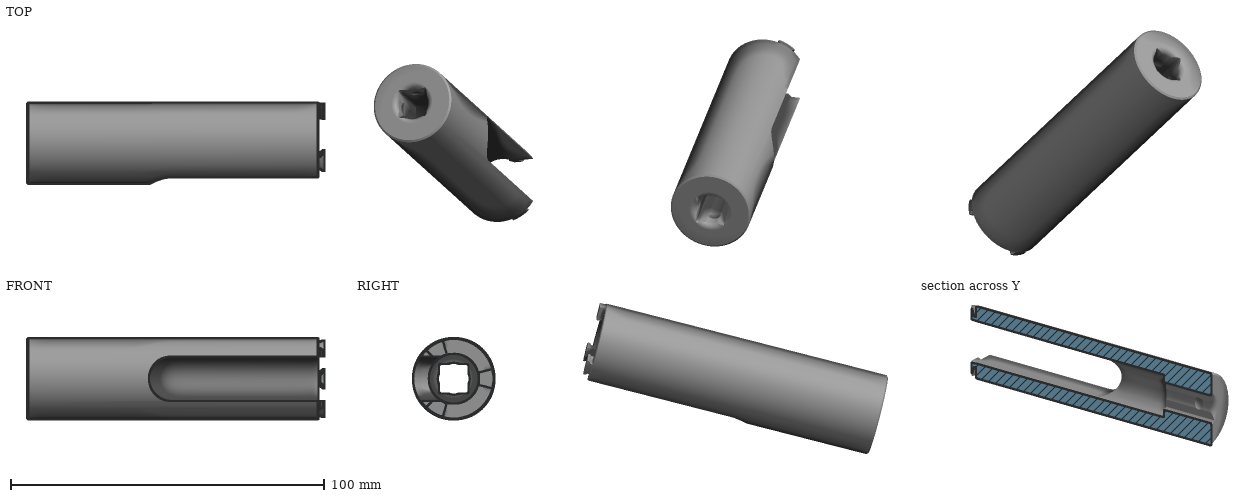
import cadquery as cq
import math

total_length = 95.0
lug_height = 1.9
body_length = total_length - lug_height
outer_radius = 26.0 / 2
bore_radius = 16.0 / 2

back_chamfer_length = 0.5
back_chamfer_depth = 0.6
front_chamfer = 0.3

drive_square = 9.4
drive_bore_diameter = 10.1
drive_mouth_diameter = 13.4
drive_mouth_length = 1.8
drive_corner_chamfer = 0.4
drive_length = 19.0
detent_radius = 2.7
detent_depth = 0.95
detent_position = 6.2

slot_width = 14.2
slot_start = 38.95

lug_angles = (90, 210, 330)
lug_outer_radius = outer_radius - front_chamfer
lug_wall_inset = 0.1
lug_inner_radius = bore_radius + lug_wall_inset
neck_half_angle = 10.0
head_half_angle = 14.0
neck_height = 0.7
head_height = lug_height - neck_height
head_chamfer = 0.7
head_fillet = 0.2


def make_body():
    """Turned sleeve with a long bore and chamfered outer rims, along +X."""
    profile = (
        cq.Workplane("XY")
        .moveTo(0, 0)
        .lineTo(0, outer_radius - back_chamfer_depth)
        .lineTo(back_chamfer_length, outer_radius)
        .lineTo(body_length - front_chamfer, outer_radius)
        .lineTo(body_length, outer_radius - front_chamfer)
        .lineTo(body_length, bore_radius)
        .lineTo(drive_length, bore_radius)
        .lineTo(drive_length, 0)
        .close()
    )
    body = profile.revolve(360, (0, 0, 0), (1, 0, 0))
    return body.rotate((0, 0, 0), (1, 0, 0), 180)


def make_drive_socket():
    """Square socket with a round relief, a flared mouth and a ball detent in each wall."""
    mouth_radius = drive_mouth_diameter / 2
    relief_radius = drive_bore_diameter / 2
    square = cq.Workplane("YZ").rect(drive_square, drive_square).extrude(drive_length)
    square = square.edges("|X").chamfer(drive_corner_chamfer)
    relief = (
        cq.Workplane("XY")
        .moveTo(drive_length, 0)
        .lineTo(drive_length, relief_radius)
        .lineTo(drive_mouth_length, relief_radius)
        .tangentArcPoint((0, mouth_radius), relative=False)
        .lineTo(0, 0)
        .close()
        .revolve(360, (0, 0, 0), (1, 0, 0))
    )
    socket = square.union(relief)
    ball_offset = drive_square / 2 + detent_depth - detent_radius
    for angle in (0, 90, 180, 270):
        ball = cq.Workplane("XY").sphere(detent_radius).translate((detent_position, ball_offset, 0))
        socket = socket.union(ball.rotate((0, 0, 0), (1, 0, 0), angle))
    return socket


def make_slot():
    """Round-ended slot through the -Y wall only, running out of the front end."""
    slot_radius = slot_width / 2
    return (
        cq.Workplane("XZ")
        .moveTo(total_length, slot_radius)
        .lineTo(slot_start + slot_radius, slot_radius)
        .threePointArc((slot_start, 0), (slot_start + slot_radius, -slot_radius))
        .lineTo(total_length, -slot_radius)
        .close()
        .extrude(outer_radius)
    )


def ring_sector(start, height, half_angle):
    """Ring sector centred on +Y, spanning the lug wall."""

    def at(radius, angle):
        turn = math.radians(angle)
        return (radius * math.cos(turn), radius * math.sin(turn))

    return (
        cq.Workplane("YZ", origin=(start, 0, 0))
        .moveTo(*at(lug_inner_radius, -half_angle))
        .lineTo(*at(lug_outer_radius, -half_angle))
        .threePointArc(at(lug_outer_radius, 0), at(lug_outer_radius, half_angle))
        .lineTo(*at(lug_inner_radius, half_angle))
        .threePointArc(at(lug_inner_radius, 0), at(bore_radius, -half_angle))
        .close()
        .extrude(height)
    )


def make_lug():
    """Narrow neck carrying a wider head with bevelled back edges and rounded front edges."""
    neck = ring_sector(body_length, neck_height, neck_half_angle)
    head_start = body_length + neck_height
    head = ring_sector(head_start, head_height, head_half_angle)
    head = head.faces("<Z or >Z").edges("<X").chamfer(head_chamfer)
    head = head.faces(">X").edges("<Z or >Z").fillet(head_fillet)
    return neck.union(head)


slot = make_slot()
result = make_body().cut(make_drive_socket()).cut(slot)
lug = make_lug()
for lug_angle in lug_angles:
    placed_lug = lug.rotate((0, 0, 0), (1, 0, 0), lug_angle - lug_angles[0])
    result = result.union(placed_lug.cut(slot))